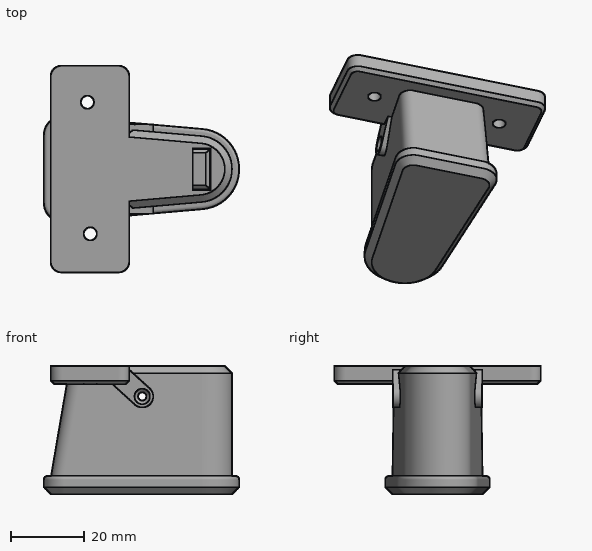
import cadquery as cq
import math

TOTAL_HEIGHT = 35.0
SIDE_TAPER = math.radians(5)
TAIL_CENTRE_X = 42.3
TAIL_RADIUS = 9.0
EDGE_CHAMFER = 2.0
SMALL_EDGE = 1.0

RIM_HEIGHT = 5.0
RIM_LIP = 2.0
RIM_CORNER_RADIUS = 5.0

WALL_FRONT_X = RIM_LIP
WALL_HEIGHT = TOTAL_HEIGHT - RIM_HEIGHT
WALL_CORNER_RADIUS = RIM_CORNER_RADIUS - RIM_LIP
FRONT_LEAN = math.radians(9.7)

PLATE_FRONT_X = 1.85
PLATE_LENGTH = 21.5
PLATE_WIDTH = 56.4
PLATE_THICKNESS = 5.0
PLATE_CORNER_RADIUS = 3.0
PLATE_BOTTOM_Z = TOTAL_HEIGHT - PLATE_THICKNESS
PLATE_HOLE_DIAMETER = 3.5
PLATE_HOLE_POSITIONS = [(11.9, 18.2), (12.7, -17.65)]

LUG_CENTRE_X = 26.85
LUG_CENTRE_Z = 26.7
LUG_RADIUS = 3.0
LUG_SLOPE = math.radians(42.4)
LUG_HALF_WIDTH = 12.2
CROSS_HOLE_DIAMETER = 2.2
COUNTERSINK_DIAMETER = 4.25

POCKET_FRONT_X = 40.65
POCKET_LENGTH = 4.8
POCKET_WIDTH = 11.45
POCKET_DEPTH = 8.0
POCKET_FLOOR_Z = TOTAL_HEIGHT - POCKET_DEPTH
LATCH_END_GAP = 0.2
LATCH_SIDE_GAP = 0.3
LATCH_HEIGHT = 3.0


def d_outline(front_x, tail_radius, bottom_z):
    """D outline with a straight front, two tapered sides and a round tail."""
    tangent_x = TAIL_CENTRE_X + tail_radius * math.sin(SIDE_TAPER)
    tangent_y = tail_radius * math.cos(SIDE_TAPER)
    front_y = tangent_y + (tangent_x - front_x) * math.tan(SIDE_TAPER)
    return (
        cq.Workplane("XY", origin=(0, 0, bottom_z))
        .moveTo(front_x, -front_y)
        .lineTo(tangent_x, -tangent_y)
        .threePointArc((TAIL_CENTRE_X + tail_radius, 0), (tangent_x, tangent_y))
        .lineTo(front_x, front_y)
        .close()
    )


def make_rim():
    """Wider rim, chamfered below and rounded above."""
    rim = d_outline(0, TAIL_RADIUS + RIM_LIP, 0).extrude(RIM_HEIGHT)
    rim = rim.edges("|Z and <X").fillet(RIM_CORNER_RADIUS)
    rim = rim.faces("<Z").chamfer(EDGE_CHAMFER)
    return rim.faces(">Z").edges().fillet(SMALL_EDGE)


def make_shell():
    """Housing wall with its leaning front and chamfered top."""
    shell = d_outline(WALL_FRONT_X, TAIL_RADIUS, RIM_HEIGHT).extrude(WALL_HEIGHT)
    front_setback = WALL_HEIGHT * math.tan(FRONT_LEAN)
    front_wedge = (
        cq.Workplane("XZ")
        .moveTo(WALL_FRONT_X, RIM_HEIGHT)
        .lineTo(WALL_FRONT_X + front_setback, TOTAL_HEIGHT)
        .lineTo(WALL_FRONT_X, TOTAL_HEIGHT)
        .close()
        .extrude(PLATE_WIDTH / 2, both=True)
    )
    shell = shell.cut(front_wedge)
    front_corners = shell.faces("<X").edges("not |Y")
    shell = front_corners.fillet(WALL_CORNER_RADIUS)
    return shell.faces(">Z").chamfer(EDGE_CHAMFER)


def make_plate():
    plate = (
        cq.Workplane("XY", origin=(PLATE_FRONT_X + PLATE_LENGTH / 2, 0, PLATE_BOTTOM_Z))
        .rect(PLATE_LENGTH, PLATE_WIDTH)
        .extrude(PLATE_THICKNESS)
        .edges("|Z")
        .fillet(PLATE_CORNER_RADIUS)
    )
    return plate.faces("<Z").chamfer(SMALL_EDGE)


def make_lugs():
    """Slanted bar across the housing whose two ends stand out as lugs."""
    side_x = LUG_RADIUS * math.sin(LUG_SLOPE)
    side_z = LUG_RADIUS * math.cos(LUG_SLOPE)
    upper = (LUG_CENTRE_X + side_x, LUG_CENTRE_Z + side_z)
    lower = (LUG_CENTRE_X - side_x, LUG_CENTRE_Z - side_z)
    tip = (
        LUG_CENTRE_X + LUG_RADIUS * math.cos(LUG_SLOPE),
        LUG_CENTRE_Z - LUG_RADIUS * math.sin(LUG_SLOPE),
    )
    upper_end_x = upper[0] - (TOTAL_HEIGHT - upper[1]) / math.tan(LUG_SLOPE)
    lower_end_x = lower[0] - (TOTAL_HEIGHT - lower[1]) / math.tan(LUG_SLOPE)
    return (
        cq.Workplane("XZ")
        .moveTo(upper_end_x, TOTAL_HEIGHT)
        .lineTo(*upper)
        .threePointArc(tip, lower)
        .lineTo(lower_end_x, TOTAL_HEIGHT)
        .close()
        .extrude(LUG_HALF_WIDTH, both=True)
    )


def make_cross_hole():
    """Cross hole along Y with a 90 degree countersink at each end."""
    hole_radius = CROSS_HOLE_DIAMETER / 2
    sink_radius = COUNTERSINK_DIAMETER / 2
    sink_end_y = LUG_HALF_WIDTH - (sink_radius - hole_radius)
    profile = (
        cq.Workplane("XY", origin=(LUG_CENTRE_X, 0, LUG_CENTRE_Z))
        .moveTo(0, -LUG_HALF_WIDTH)
        .lineTo(sink_radius, -LUG_HALF_WIDTH)
        .lineTo(hole_radius, -sink_end_y)
        .lineTo(hole_radius, sink_end_y)
        .lineTo(sink_radius, LUG_HALF_WIDTH)
        .lineTo(0, LUG_HALF_WIDTH)
        .close()
    )
    return profile.revolve(360, (0, 0, 0), (0, 1, 0))


def make_plate_holes():
    return (
        cq.Workplane("XY", origin=(0, 0, PLATE_BOTTOM_Z))
        .pushPoints(PLATE_HOLE_POSITIONS)
        .circle(PLATE_HOLE_DIAMETER / 2)
        .extrude(PLATE_THICKNESS)
    )


def pocket_block(length, width, height):
    """Block on the pocket floor, against the front wall of the pocket."""
    return cq.Workplane("XY", origin=(POCKET_FRONT_X, 0, POCKET_FLOOR_Z)).box(
        length, width, height, centered=(False, True, False)
    )


def make_housing():
    housing = make_shell().union(make_rim()).union(make_plate()).union(make_lugs()).clean()
    housing = housing.cut(make_cross_hole()).cut(make_plate_holes())
    return housing.cut(pocket_block(POCKET_LENGTH, POCKET_WIDTH, POCKET_DEPTH))


def make_latch():
    """Latch block, chamfered on the top edges that face the gap around it."""
    length = POCKET_LENGTH - LATCH_END_GAP
    width = POCKET_WIDTH - 2 * LATCH_SIDE_GAP
    latch = pocket_block(length, width, LATCH_HEIGHT)
    return latch.faces(">Z").edges(">X or >Y or <Y").chamfer(SMALL_EDGE)


housing = make_housing()
latch = make_latch()

result = cq.Compound.makeCompound([housing.solids().val(), latch.solids().val()])